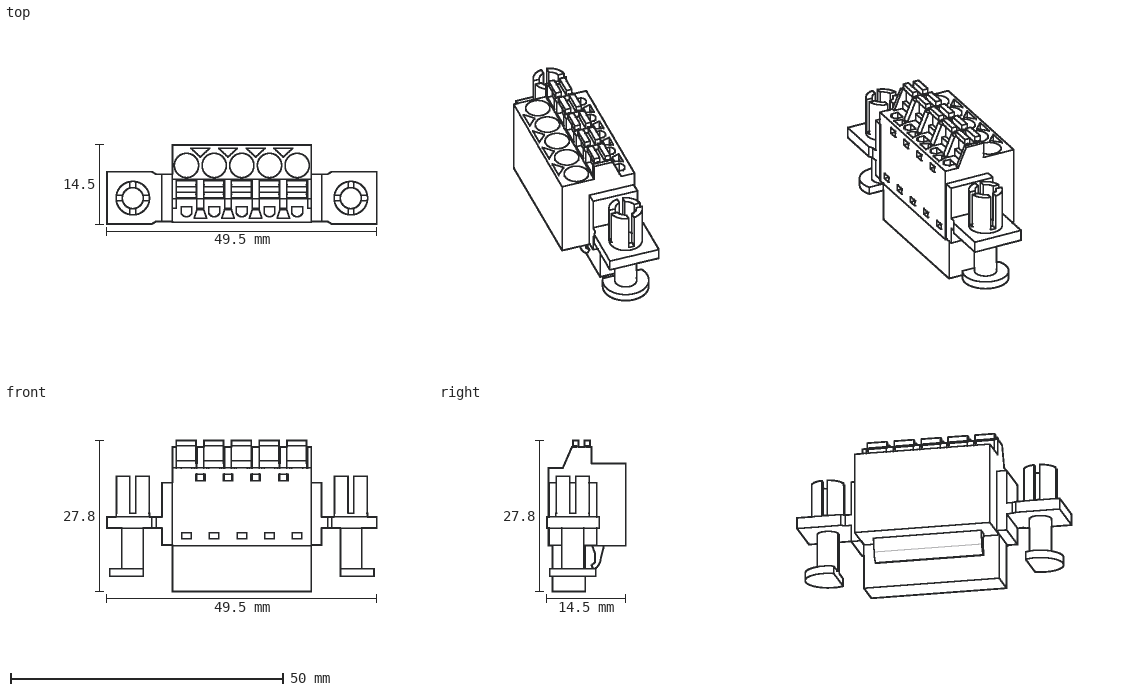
import cadquery as cq

pole_count = 5
pole_span = 20.3
pole_pitch = pole_span / (pole_count - 1)
pole_xs = [(i - (pole_count - 1) / 2) * pole_pitch for i in range(pole_count)]
between_xs = [x + pole_pitch / 2 for x in pole_xs[:-1]]

housing_length = 25.5
housing_front = -4.45
housing_back = 9.75
housing_bottom = 8.35
front_ledge_top = 22.7
back_ledge_top = 23.55
tower_top = 26.55
tower_back = 3.45
tower_slope_top = -0.15
tower_slope_foot = -1.85

plug_front = -3.7
plug_back = 2.35

latch_length = pole_span
latch_root_back = 5.75
latch_root_front = 3.55
latch_bend_start = (5.15, 5.95)
latch_bend_middle = (4.7, 4.75)
latch_tip_back = 4.05
latch_tip_front = 3.75
latch_bottom = 4.15
latch_arm_front = 4.05
latch_arm_top = 7.05
latch_hook_top = 5.35
latch_hook_point = (3.4, 4.8)

total_length = 49.55
flange_end = total_length / 2
flange_bottom = 11.65
flange_top = 13.75
flange_front = -4.75
flange_back = 4.85
neck_inset = 0.45
neck_end = 15.75
neck_flare = 0.75
block_end = 14.65
block_front = flange_front + neck_inset
block_back = flange_back - neck_inset
block_bottom = 8.5
block_top = 20.0

well_radius = 2.25
well_y = 6.0
well_depth = 4.95
triangle_width = 3.45
triangle_back = 9.15
triangle_tip = 7.55
triangle_depth = 2.5
wire_hole_width = 2.0
wire_hole_back = -1.6
wire_hole_corner = -2.77
wire_hole_front = -3.4
wire_hole_depth = 2.5
funnel_back = -2.2
funnel_back_width = 1.3
funnel_front = -3.65
funnel_front_width = 2.3
funnel_depth = 3.45
window_width = 1.75
upper_window_bottom = 20.35
upper_window_top = 21.55
lower_window_bottom = 9.65
lower_window_top = 10.75
lower_window_depth = 0.75

pocket_width = 3.8
pocket_floor = 19.8
lever_gap = 0.15
lever_width = pocket_width - lever_gap
lever_foot_front = -0.1
lever_foot_top = 24.05
lever_stem_front = 0.7
lever_stem_back = 2.5
lever_prong_bottom = 26.75
lever_top = 27.75
lever_front = 0.05
lever_back = 3.2
lever_slot_front = 1.1
lever_slot_back = 2.15

pin_x = 20.0
pin_top = 21.2
pin_bottom = 2.77
sleeve_radius = 3.05
bore_radius = 1.95
bore_bottom = 14.05
sleeve_slot_width = 1.05
sleeve_slot_bottom = 14.4
shaft_radius = 2.05
collar_radius = 4.25
collar_thickness = 1.45
pin_flat = 1.95
collar_top = pin_bottom + collar_thickness


def box(x0, x1, y0, y1, z0, z1):
    """A box between opposite corners."""
    return cq.Workplane("XY").box(x1 - x0, y1 - y0, z1 - z0, centered=False).translate((x0, y0, z0))


def flatted_cylinder(radius, z0, z1, x, inward):
    """An upright cylinder at x, cut flat at pin_flat from its axis on the inward side (+1 or -1)."""
    cylinder = cq.Workplane("XY", origin=(x, 0, z0)).circle(radius).extrude(z1 - z0)
    flat_x = x + inward * pin_flat
    beyond_x = x + inward * 2 * collar_radius
    waste = box(min(flat_x, beyond_x), max(flat_x, beyond_x), -radius, radius, z0, z1)
    return cylinder.cut(waste)


def housing_shell():
    """Main block with a sloped tower between a low front ledge and a back ledge."""
    outline = cq.Workplane("YZ").polyline([
        (housing_front, housing_bottom),
        (housing_back, housing_bottom),
        (housing_back, back_ledge_top),
        (tower_back, back_ledge_top),
        (tower_back, tower_top),
        (tower_slope_top, tower_top),
        (tower_slope_foot, front_ledge_top),
        (housing_front, front_ledge_top),
    ]).close()
    return outline.extrude(housing_length / 2, both=True)


def plug():
    """Plain block that goes into the mating socket."""
    half = housing_length / 2
    return box(-half, half, plug_front, plug_back, 0, housing_bottom)


def latch():
    """Hooked latch hanging from the housing behind the plug."""
    outline = (
        cq.Workplane("YZ")
        .moveTo(latch_root_back, housing_bottom)
        .lineTo(*latch_bend_start)
        .threePointArc(latch_bend_middle, (latch_tip_back, latch_bottom))
        .lineTo(latch_tip_front, latch_bottom)
        .lineTo(*latch_hook_point)
        .lineTo(latch_arm_front, latch_hook_top)
        .lineTo(latch_arm_front, latch_arm_top)
        .lineTo(latch_root_front, housing_bottom)
        .close()
    )
    return outline.extrude(latch_length / 2, both=True)


def flange(side):
    """Side block and flared flange plate on one end of the housing (side is -1 or +1)."""
    inner = housing_length / 2
    flare_end = neck_end + neck_flare
    plate = (
        cq.Workplane("XY", origin=(0, 0, flange_bottom))
        .polyline([
            (side * inner, block_front),
            (side * neck_end, block_front),
            (side * flare_end, flange_front),
            (side * flange_end, flange_front),
            (side * flange_end, flange_back),
            (side * flare_end, flange_back),
            (side * neck_end, block_back),
            (side * inner, block_back),
        ])
        .close()
        .extrude(flange_top - flange_bottom)
    )
    xs = sorted([side * inner, side * block_end])
    block = box(*xs, block_front, block_back, block_bottom, block_top)
    pin_hole = flatted_cylinder(shaft_radius, flange_bottom, flange_top, side * pin_x, -side)
    return block.union(plate).cut(pin_hole)


def pole_openings(x):
    """Round well, wire hole, lever pocket and lower window of one pole."""
    well = (
        cq.Workplane("XY", origin=(x, well_y, back_ledge_top))
        .circle(well_radius)
        .extrude(-well_depth)
    )
    half_hole = wire_hole_width / 2
    wire_hole = (
        cq.Workplane("XY", origin=(x, 0, front_ledge_top))
        .moveTo(-half_hole, wire_hole_back)
        .lineTo(half_hole, wire_hole_back)
        .lineTo(half_hole, wire_hole_corner)
        .threePointArc((0, wire_hole_front), (-half_hole, wire_hole_corner))
        .close()
        .extrude(-wire_hole_depth)
    )
    half_pocket = pocket_width / 2
    pocket = box(x - half_pocket, x + half_pocket, lever_foot_front, tower_back, pocket_floor, tower_top)
    slope_clearance = box(
        x - half_pocket, x + half_pocket, tower_slope_foot, tower_back, front_ledge_top, tower_top
    )
    half_window = window_width / 2
    window = box(
        x - half_window, x + half_window,
        housing_front, housing_front + lower_window_depth,
        lower_window_bottom, lower_window_top,
    )
    return [well, wire_hole, pocket, slope_clearance, window]


def between_pole_openings(x):
    """Triangular recess, and funnel with its front window, between two neighbouring poles."""
    half_triangle = triangle_width / 2
    triangle = (
        cq.Workplane("XY", origin=(x, 0, back_ledge_top))
        .polyline([(-half_triangle, triangle_back), (half_triangle, triangle_back), (0, triangle_tip)])
        .close()
        .extrude(-triangle_depth)
    )
    half_front = funnel_front_width / 2
    half_back = funnel_back_width / 2
    funnel = (
        cq.Workplane("XY", origin=(x, 0, front_ledge_top))
        .polyline([
            (-half_front, funnel_front),
            (half_front, funnel_front),
            (half_back, funnel_back),
            (-half_back, funnel_back),
        ])
        .close()
        .extrude(-funnel_depth)
    )
    half_window = window_width / 2
    window = box(
        x - half_window, x + half_window,
        housing_front, funnel_front,
        upper_window_bottom, upper_window_top,
    )
    return [triangle, funnel, window]


def make_housing():
    """The housing with its plug, latch and flanges as one solid."""
    body = housing_shell().union(plug()).union(latch())
    body = body.union(flange(-1)).union(flange(1))
    for x in pole_xs:
        for opening in pole_openings(x):
            body = body.cut(opening)
    for x in between_xs:
        for opening in between_pole_openings(x):
            body = body.cut(opening)
    return body


def make_lever(x):
    """Release lever of the pole at x: wide foot, narrow stem and two overhanging prongs."""
    left = x - pocket_width / 2
    return (
        cq.Workplane("YZ", origin=(left, 0, 0))
        .polyline([
            (lever_foot_front, pocket_floor),
            (tower_back, pocket_floor),
            (tower_back, lever_foot_top),
            (lever_stem_back, lever_foot_top),
            (lever_stem_back, lever_prong_bottom),
            (lever_back, lever_prong_bottom),
            (lever_back, lever_top),
            (lever_slot_back, lever_top),
            (lever_slot_back, tower_top),
            (lever_slot_front, tower_top),
            (lever_slot_front, lever_top),
            (lever_front, lever_top),
            (lever_front, lever_prong_bottom),
            (lever_stem_front, lever_prong_bottom),
            (lever_stem_front, lever_foot_top),
            (lever_foot_front, lever_foot_top),
        ])
        .close()
        .extrude(lever_width)
    )


def make_pin(side):
    """Locking pin: cross-slotted sleeve above the flange, flatted shaft through it, collar below."""
    x = side * pin_x
    collar = flatted_cylinder(collar_radius, pin_bottom, collar_top, x, -side)
    shaft = flatted_cylinder(shaft_radius, collar_top, flange_top, x, -side)
    sleeve_base = cq.Workplane("XY", origin=(x, 0, flange_top))
    sleeve = sleeve_base.circle(sleeve_radius).extrude(pin_top - flange_top)
    bore_base = cq.Workplane("XY", origin=(x, 0, bore_bottom))
    bore = bore_base.circle(bore_radius).extrude(pin_top - bore_bottom)
    slot_base = cq.Workplane("XY", origin=(x, 0, sleeve_slot_bottom))
    slot_height = pin_top - sleeve_slot_bottom
    slot_x = slot_base.rect(2 * sleeve_radius, sleeve_slot_width).extrude(slot_height)
    slot_y = slot_base.rect(sleeve_slot_width, 2 * sleeve_radius).extrude(slot_height)
    return collar.union(shaft).union(sleeve).cut(bore).cut(slot_x).cut(slot_y)


housing = make_housing()
levers = [make_lever(x) for x in pole_xs]
pins = [make_pin(side) for side in (-1, 1)]

result = cq.Compound.makeCompound([
    housing.val(),
    *[lever.val() for lever in levers],
    *[pin.val() for pin in pins],
])